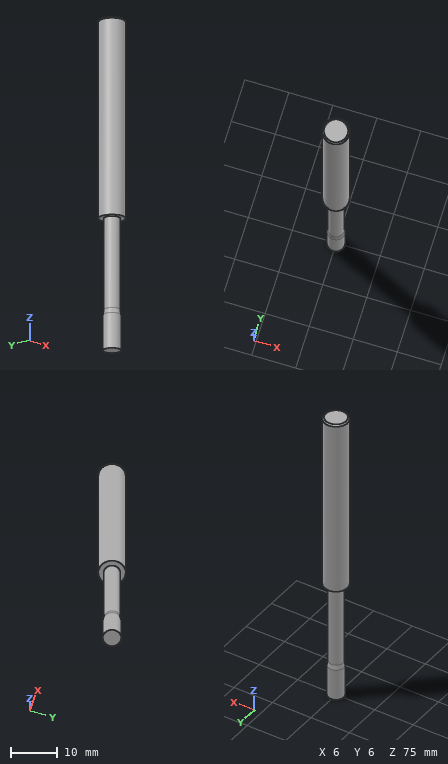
import cadquery as cq

total_length = 75.0
shank_length = 45.0
shank_radius = 3.0
shank_chamfer = 0.4

head_radius = 2.0
head_length = 8.1
neck_radius = 1.8
taper_length = 1.2

shank_bottom = total_length - shank_length
neck_bottom = head_length + taper_length

half_profile = (
    cq.Workplane("XZ")
    .moveTo(0, 0)
    .lineTo(head_radius, 0)
    .lineTo(head_radius, head_length)
    .lineTo(neck_radius, neck_bottom)
    .lineTo(neck_radius, shank_bottom)
    .lineTo(shank_radius, shank_bottom)
    .lineTo(shank_radius, total_length - shank_chamfer)
    .lineTo(shank_radius - shank_chamfer, total_length)
    .lineTo(0, total_length)
    .close()
)

result = half_profile.revolve(360, (0, 0, 0), (0, 1, 0))